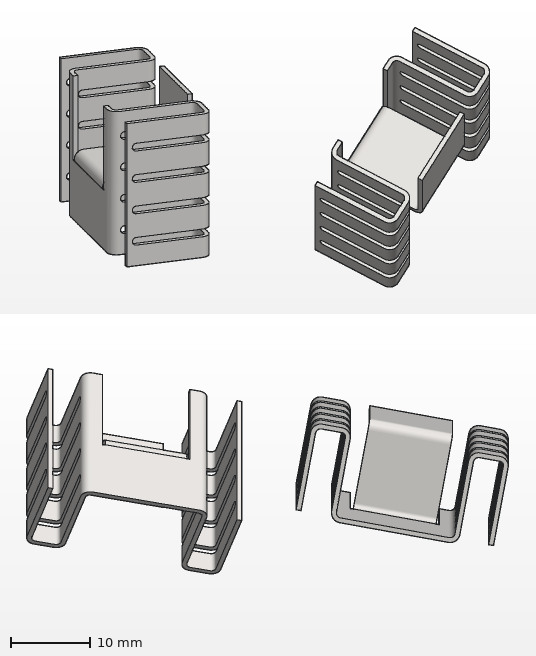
import cadquery as cq

width = 25.4
depth = 12.06
height = 19.38

sheet = 0.64
inner_bend = 0.64
outer_bend = inner_bend + sheet

fold_width = 5.08
outer_leg_outside = width / 2
outer_leg_inside = outer_leg_outside - sheet
inner_leg_inside = outer_leg_outside - fold_width
inner_leg_outside = inner_leg_inside + sheet

slot_count = 4
slot_height = 1.05
slot_pitch = 4.25
slot_front = 1.4

window_width = 11.43
window_bottom = 8.03
tab_width = 10.67
tab_straight = 0.18
floor_top = window_bottom + tab_straight + outer_bend
floor_bottom = floor_top - sheet


def round_corners(body, corners, radius):
    """Fillet the straight edges whose midpoints are given."""
    for corner in corners:
        body = body.edges(cq.NearestToPointSelector(corner)).fillet(radius)
    return body


def make_folded_sheet():
    """Front plate with a U-shaped fold on each side, without openings."""
    right_half = [
        (inner_leg_inside, sheet),
        (inner_leg_inside, depth),
        (outer_leg_outside, depth),
        (outer_leg_outside, sheet),
        (outer_leg_inside, sheet),
        (outer_leg_inside, depth - sheet),
        (inner_leg_outside, depth - sheet),
        (inner_leg_outside, 0),
    ]
    left_half = [(-x, y) for x, y in reversed(right_half)]
    folded = cq.Workplane("XY").polyline(right_half + left_half).close().extrude(height)

    outer_corners = [
        (inner_leg_outside, 0),
        (inner_leg_inside, depth),
        (outer_leg_outside, depth),
    ]
    inner_corners = [
        (inner_leg_inside, sheet),
        (inner_leg_outside, depth - sheet),
        (outer_leg_inside, depth - sheet),
    ]
    for corners, radius in ((outer_corners, outer_bend), (inner_corners, inner_bend)):
        for side in (-1, 1):
            midpoints = [(side * x, y, height / 2) for x, y in corners]
            folded = round_corners(folded, midpoints, radius)
    return folded


def make_slot_cutters():
    """Round-ended slots, spaced evenly about mid height and open at the back."""
    slot_radius = slot_height / 2
    round_centre = slot_front + slot_radius
    cutters = []
    for index in range(slot_count):
        slot_z = height / 2 + (index - (slot_count - 1) / 2) * slot_pitch
        cutter = (
            cq.Workplane("YZ")
            .moveTo(depth, slot_z - slot_radius)
            .lineTo(round_centre, slot_z - slot_radius)
            .threePointArc((slot_front, slot_z), (round_centre, slot_z + slot_radius))
            .lineTo(depth, slot_z + slot_radius)
            .close()
            .extrude(width / 2, both=True)
        )
        cutters.append(cutter)
    return cutters


def make_heat_sink():
    """Folded sheet with slotted fins and a window open at the top of the front plate."""
    heat_sink = make_folded_sheet()
    for cutter in make_slot_cutters():
        heat_sink = heat_sink.cut(cutter)
    window = cq.Workplane("XY").box(
        window_width, sheet, height - window_bottom, centered=(True, False, False)
    )
    return heat_sink.cut(window.translate((0, 0, window_bottom)))


def make_tab():
    """Strip rising from the window edge, bent back into a floor and up into a rear wall."""
    profile = [
        (0, window_bottom),
        (sheet, window_bottom),
        (sheet, floor_bottom),
        (depth, floor_bottom),
        (depth, height),
        (depth - sheet, height),
        (depth - sheet, floor_top),
        (0, floor_top),
    ]
    tab = cq.Workplane("YZ").polyline(profile).close().extrude(tab_width / 2, both=True)
    tab = round_corners(tab, [(0, 0, floor_top), (0, depth, floor_bottom)], outer_bend)
    return round_corners(tab, [(0, sheet, floor_bottom), (0, depth - sheet, floor_top)], inner_bend)


heat_sink = make_heat_sink()
tab = make_tab()
result = cq.Compound.makeCompound([heat_sink.val(), tab.val()])